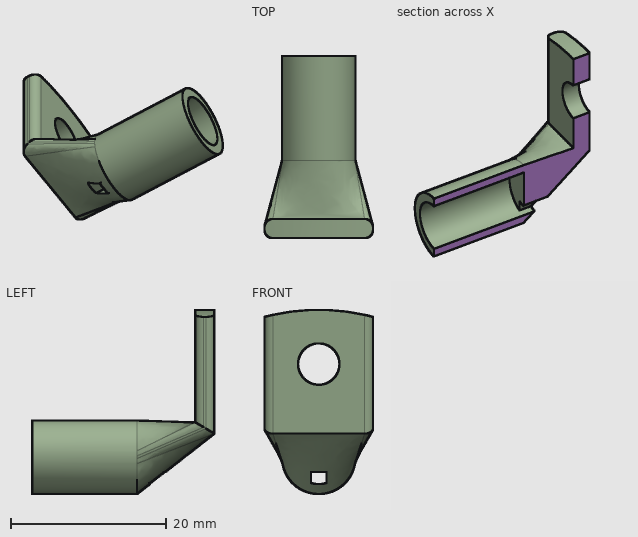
import cadquery as cq
import math

overall_length = 23.5
barrel_start = 9.98
barrel_radius = 4.75
bore_radius = 3.45

palm_width = 14.0
palm_thickness = 2.5
palm_edge_radius = 1.1
palm_top = 19.0
palm_top_drop = 0.93
palm_front_base = 3.05
palm_back_base = 4.51
screw_hole_diameter = 5.3
screw_hole_height = 12.0

window_width = 1.95
window_top = -1.92

half_width = palm_width / 2
barrel_length = overall_length - barrel_start


def make_barrel():
    end_plane = cq.Workplane("XZ", origin=(0, overall_length, 0))
    return end_plane.circle(barrel_radius).extrude(barrel_length)


def make_palm():
    """Arched plate with rounded side edges and a sloping base."""
    shoulder = palm_top - palm_top_drop
    plate = (
        cq.Workplane("XY")
        .center(0, palm_thickness / 2)
        .rect(palm_width, palm_thickness)
        .extrude(palm_top)
        .edges("|Z")
        .fillet(palm_edge_radius)
    )
    arched_outline = (
        cq.Workplane("XZ")
        .moveTo(-half_width, 0)
        .lineTo(half_width, 0)
        .lineTo(half_width, shoulder)
        .threePointArc((0, palm_top), (-half_width, shoulder))
        .close()
        .extrude(-palm_thickness)
    )
    below_base = (
        cq.Workplane("YZ")
        .polyline([(0, 0), (0, palm_front_base), (palm_thickness, palm_back_base), (palm_thickness, 0)])
        .close()
        .extrude(half_width, both=True)
    )
    screw_hole = (
        cq.Workplane("XZ")
        .center(0, screw_hole_height)
        .circle(screw_hole_diameter / 2)
        .extrude(-palm_thickness)
    )
    return plate.intersect(arched_outline).cut(below_base).cut(screw_hole)


def base_point(x, y):
    """Point on the sloping base plane of the palm."""
    base_slope = (palm_back_base - palm_front_base) / palm_thickness
    return cq.Vector(x, y, palm_front_base + base_slope * y)


def barrel_point(angle):
    radians = math.radians(angle)
    return cq.Vector(barrel_radius * math.cos(radians), barrel_start, barrel_radius * math.sin(radians))


def make_transition():
    """Ruled neck whose eight faces join the palm base to the barrel's round end."""
    long_edge_span = 160
    short_edge_span = 4
    corner_span = (180 - long_edge_span - short_edge_span) / 2
    spans = [short_edge_span, corner_span, long_edge_span, corner_span] * 2

    base_edges = []
    diagonal_inset = palm_edge_radius * (1 - math.sqrt(0.5))
    flat_x = half_width - palm_edge_radius
    flat_y = palm_thickness / 2 - palm_edge_radius
    corner_x = half_width - diagonal_inset
    corner_y = palm_thickness / 2 - diagonal_inset
    middle_y = palm_thickness / 2
    for side_x, side_y in [(1, 1), (-1, 1), (-1, -1), (1, -1)]:
        side_end = base_point(side_x * half_width, middle_y + side_y * flat_y)
        wide_end = base_point(side_x * flat_x, middle_y + side_y * middle_y)
        middle = base_point(side_x * corner_x, middle_y + side_y * corner_y)
        first, last = (side_end, wide_end) if side_x == side_y else (wide_end, side_end)
        if base_edges:
            base_edges.append(cq.Edge.makeLine(base_edges[-1].endPoint(), first))
        base_edges.append(cq.Edge.makeThreePointArc(first, middle, last))
    closing_side = cq.Edge.makeLine(base_edges[-1].endPoint(), base_edges[0].startPoint())
    base_edges.insert(0, closing_side)

    barrel_edges = []
    angle = -short_edge_span / 2
    for span in spans:
        points = [barrel_point(angle + part * span) for part in (0, 0.5, 1)]
        barrel_edges.append(cq.Edge.makeThreePointArc(*points))
        angle += span

    profiles = [cq.Wire.assembleEdges(base_edges), cq.Wire.assembleEdges(barrel_edges)]
    return cq.Workplane(cq.Solid.makeLoft(profiles, True))


def make_bore():
    return cq.Workplane("XZ", origin=(0, overall_length, 0)).circle(bore_radius).extrude(barrel_length)


def make_window():
    """Inspection window through the sloping wall, rounded below to follow the bore."""
    window_height = window_top + bore_radius
    window = (
        cq.Workplane("XZ")
        .center(0, window_top - window_height / 2)
        .rect(window_width, window_height)
        .extrude(-overall_length)
    )
    bore_envelope = cq.Workplane("XZ").circle(bore_radius).extrude(-overall_length)
    return window.intersect(bore_envelope)


lug = make_barrel().union(make_transition()).union(make_palm())
result = lug.cut(make_bore()).cut(make_window())